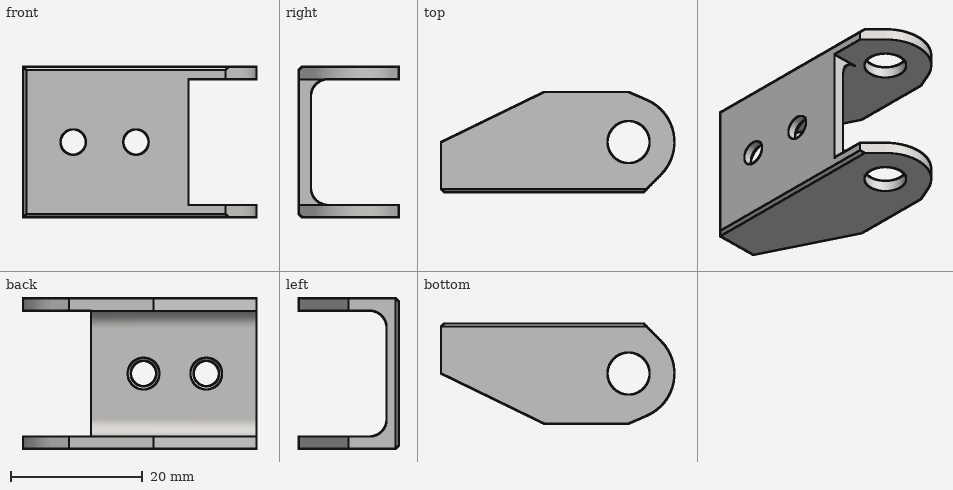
import cadquery as cq
import math

depth = 15.24
height = 22.86
wall = 1.905
inner_fillet_radius = 2.54
edge_chamfer = 0.508

pivot_x = 28.465
pivot_y = depth / 2
ear_radius = 6.985
pivot_hole_diameter = 6.35
rear_edge_length = depth / 2
top_edge_start_x = 15.65
lower_flat_angle = math.radians(45)

mount_hole_diameter = 3.81
first_mount_hole_x = 7.62
mount_hole_spacing = 9.525
mount_hole_count = 2
countersink_depth = 0.508
countersink_half_angle = 45
web_end_x = 25.146


def ear_point(angle):
    """Point on the rounded ear end, with the angle measured from +X."""
    return (pivot_x + ear_radius * math.cos(angle), pivot_y + ear_radius * math.sin(angle))


def make_body():
    """Full-height block with the side outline of the ears."""
    upper_tangent = ear_point(math.pi / 2 - math.acos(ear_radius / (depth - pivot_y)))
    lower_tangent = ear_point(-lower_flat_angle)
    lower_flat_end_x = lower_tangent[0] - lower_tangent[1] / math.tan(lower_flat_angle)
    return (
        cq.Workplane("XY", origin=(0, 0, -height / 2))
        .moveTo(0, 0)
        .lineTo(lower_flat_end_x, 0)
        .lineTo(*lower_tangent)
        .threePointArc(ear_point(0), upper_tangent)
        .lineTo(pivot_x, depth)
        .lineTo(top_edge_start_x, depth)
        .lineTo(0, rear_edge_length)
        .close()
        .extrude(height)
    )


def chamfer_web_face(body):
    """Bevel the rear, top and bottom edges of the outer web face."""
    face_edges = body.faces("<Y").edges("<X or >Z or <Z")
    return body.newObject(face_edges.vals()).chamfer(edge_chamfer)


def make_channel():
    """Space between the ears, with rounded corners along the web."""
    length = pivot_x + ear_radius
    return (
        cq.Workplane("XY")
        .box(length, depth, height - 2 * wall, centered=(False, False, True))
        .translate((0, wall, 0))
        .edges("|X and <Y")
        .fillet(inner_fillet_radius)
    )


def make_web_notch():
    """Opening between the ears past the end of the web."""
    length = pivot_x + ear_radius - web_end_x
    return (
        cq.Workplane("XY")
        .box(length, depth, height - 2 * wall, centered=(False, False, True))
        .translate((web_end_x, 0, 0))
    )


def make_pivot_hole():
    """Hole through both ears."""
    return (
        cq.Workplane("XY", origin=(pivot_x, pivot_y, -height / 2))
        .circle(pivot_hole_diameter / 2)
        .extrude(height)
    )


def make_mount_hole(x):
    """Hole through the web, countersunk where it opens between the ears."""
    hole = cq.Workplane("XZ").center(x, 0).circle(mount_hole_diameter / 2).extrude(-wall)
    countersink_width = countersink_depth * math.tan(math.radians(countersink_half_angle))
    countersink = (
        cq.Workplane("XZ", origin=(x, wall, 0))
        .circle(mount_hole_diameter / 2 + countersink_width)
        .extrude(countersink_depth, taper=countersink_half_angle)
    )
    return hole.union(countersink)


result = (
    chamfer_web_face(make_body())
    .cut(make_channel())
    .cut(make_web_notch())
    .cut(make_pivot_hole())
)

for i in range(mount_hole_count):
    result = result.cut(make_mount_hole(first_mount_hole_x + i * mount_hole_spacing))